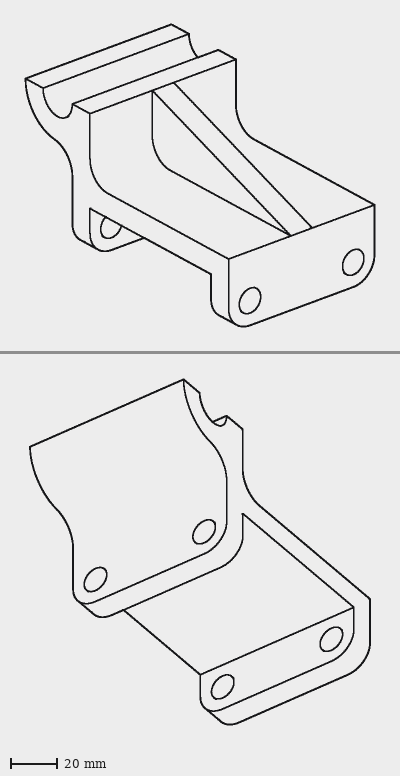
import cadquery as cq
import math

length = 138.0
width = 82.0
height = 70.0

thickness = 12.0
groove_radius = 10.0
saddle_radius = groove_radius + thickness
neck_radius = 13.5
inner_fillet = thickness
corner_radius = thickness
hole_diameter = 12.0
hole_inset = 12.0

groove_x = saddle_radius
wall_front = groove_x + groove_radius
wall_back = wall_front + thickness
rear_leg_front = length - thickness
plate_bottom = 24.0
plate_top = plate_bottom + thickness

neck_x = wall_front - neck_radius
neck_z = height - math.sqrt((saddle_radius + neck_radius) ** 2 - (groove_x - neck_x) ** 2)
saddle_angle = math.atan2(neck_z - height, neck_x - groove_x)


def arc_point(center_x, center_z, radius, angle):
    return (center_x + radius * math.cos(angle), center_z + radius * math.sin(angle))


def extrude_centered(outline, depth):
    return outline.close().extrude(depth / 2, both=True)


def make_body():
    saddle_middle = (saddle_angle - math.pi) / 2
    neck_middle = (saddle_angle + math.pi) / 2
    fillet_x = wall_back + inner_fillet
    fillet_z = plate_top + inner_fillet
    outline = (
        cq.Workplane("XZ")
        .moveTo(0, height)
        .threePointArc(
            arc_point(groove_x, height, saddle_radius, saddle_middle),
            arc_point(groove_x, height, saddle_radius, saddle_angle),
        )
        .threePointArc(
            arc_point(neck_x, neck_z, neck_radius, neck_middle),
            (wall_front, neck_z),
        )
        .lineTo(wall_front, 0)
        .lineTo(wall_back, 0)
        .lineTo(wall_back, plate_bottom)
        .lineTo(rear_leg_front, plate_bottom)
        .lineTo(rear_leg_front, 0)
        .lineTo(length, 0)
        .lineTo(length, plate_top)
        .lineTo(fillet_x, plate_top)
        .threePointArc(
            arc_point(fillet_x, fillet_z, inner_fillet, -3 * math.pi / 4),
            (wall_back, fillet_z),
        )
        .lineTo(wall_back, height)
        .lineTo(wall_front, height)
        .threePointArc(
            (groove_x, height - groove_radius),
            (groove_x - groove_radius, height),
        )
    )
    return extrude_centered(outline, width)


def make_rib():
    outline = (
        cq.Workplane("XZ")
        .moveTo(wall_back, height)
        .lineTo(length, plate_top)
        .lineTo(wall_front, plate_top)
        .lineTo(wall_front, plate_top + thickness)
        .lineTo(wall_back, plate_top + thickness)
    )
    return extrude_centered(outline, thickness)


def round_leg_corners(body):
    return body.faces("<Z").edges("|X").fillet(corner_radius)


def make_leg_holes():
    hole_y = width / 2 - hole_inset
    return (
        cq.Workplane("YZ")
        .pushPoints([(-hole_y, hole_inset), (hole_y, hole_inset)])
        .circle(hole_diameter / 2)
        .extrude(length)
    )


result = round_leg_corners(make_body()).union(make_rib()).cut(make_leg_holes())